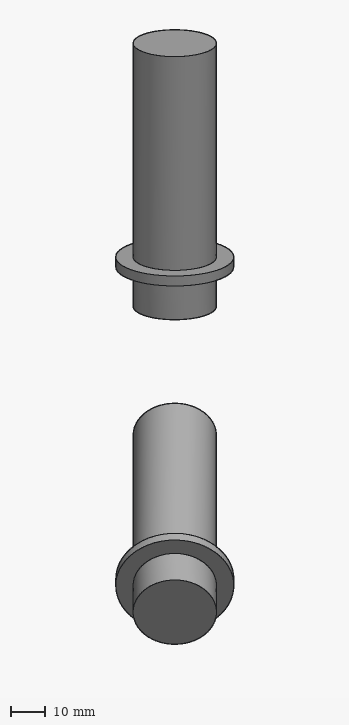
import cadquery as cq

total_length = 80.0
pin_diameter = 24.0
collar_diameter = 34.0

collar_bottom = 12.0
collar_thickness = 3.0


def cylinder(diameter, height, bottom):
    """Upright cylinder centred on the Z axis."""
    return cq.Workplane("XY").workplane(offset=bottom).circle(diameter / 2).extrude(height)


pin = cylinder(pin_diameter, total_length, 0)
collar = cylinder(collar_diameter, collar_thickness, collar_bottom)

result = pin.union(collar)